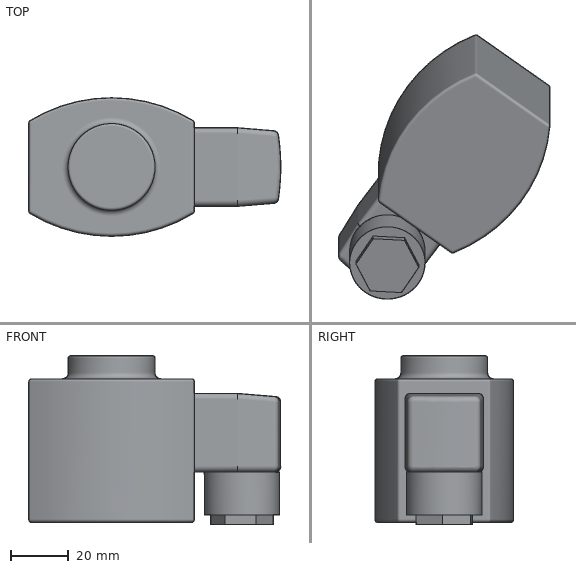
import cadquery as cq
import math

body_length = 57.2
body_width = 47.85
body_end_width = 31.5
body_height = 49.6
body_fillet = 1.05

cap_diameter = 30.0
cap_height = 8.0
cap_top_fillet = 1.0
cap_base_fillet = 2.0

overall_length = 87
housing_width = 27.15
housing_bottom = 17.4
housing_height = 27.15
housing_overlap = 2.6
taper_start_x = 43.5
taper_angle = 4.7
tip_bulge = 1.05
housing_fillet = 2.0

gland_x = 45.0
gland_diameter = 26.0
gland_bottom = 2.6
nut_across_flats = 18.8
nut_bottom = -0.7
nut_turn = 27

body_end_x = body_length / 2
housing_root_x = body_end_x - housing_overlap
tip_x = overall_length - body_end_x


def make_body():
    half_end = body_end_width / 2
    half_width = body_width / 2
    return (
        cq.Workplane("XY")
        .moveTo(-body_end_x, -half_end)
        .threePointArc((0, -half_width), (body_end_x, -half_end))
        .lineTo(body_end_x, half_end)
        .threePointArc((0, half_width), (-body_end_x, half_end))
        .close()
        .extrude(body_height)
        .edges()
        .fillet(body_fillet)
    )


def add_cap(body):
    cap = (
        cq.Workplane("XY", origin=(0, 0, body_height - body_fillet))
        .circle(cap_diameter / 2)
        .extrude(cap_height + body_fillet)
        .faces(">Z")
        .edges()
        .fillet(cap_top_fillet)
    )
    base_edge = cq.selectors.NearestToPointSelector((0, 0, body_height))
    return body.union(cap).edges("%CIRCLE").edges(base_edge).fillet(cap_base_fillet)


def make_housing_base():
    base_length = taper_start_x - housing_root_x
    return (
        cq.Workplane("YZ", origin=(housing_root_x, 0, housing_bottom + housing_height / 2))
        .rect(housing_width, housing_height)
        .extrude(base_length)
        .edges("|X")
        .fillet(housing_fillet)
    )


def make_housing_tip():
    half_width = housing_width / 2
    housing_top = housing_bottom + housing_height
    corner_x = tip_x - tip_bulge
    slope = math.tan(math.radians(taper_angle))
    corner_y = half_width - slope * (corner_x - taper_start_x)
    plan = (
        cq.Workplane("XY", origin=(0, 0, housing_bottom))
        .moveTo(taper_start_x, -half_width)
        .lineTo(corner_x, -corner_y)
        .threePointArc((tip_x, 0), (corner_x, corner_y))
        .lineTo(taper_start_x, half_width)
        .close()
        .extrude(housing_height)
    )
    profile_end_x = tip_x + tip_bulge
    side = (
        cq.Workplane("XZ")
        .moveTo(taper_start_x, housing_bottom)
        .lineTo(profile_end_x, housing_bottom)
        .lineTo(profile_end_x, housing_top - slope * (profile_end_x - taper_start_x))
        .lineTo(taper_start_x, housing_top)
        .close()
        .extrude(housing_width, both=True)
    )
    return plan.intersect(side).edges("not(<X)").fillet(housing_fillet)


def make_gland():
    barrel = (
        cq.Workplane("XY", origin=(gland_x, 0, gland_bottom))
        .circle(gland_diameter / 2)
        .extrude(housing_bottom - gland_bottom)
    )
    nut = (
        cq.Workplane("XY", origin=(gland_x, 0, nut_bottom))
        .transformed(rotate=(0, 0, nut_turn))
        .polygon(6, nut_across_flats, circumscribed=True)
        .extrude(gland_bottom - nut_bottom)
    )
    return barrel.union(nut)


housing = make_housing_base().union(make_housing_tip())
result = add_cap(make_body()).union(housing).union(make_gland())